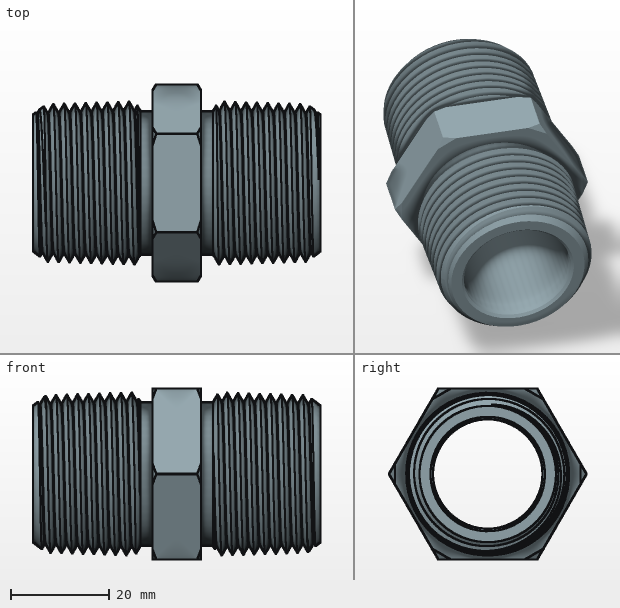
import cadquery as cq
import math

length = 58.7
half_length = length / 2
bore_radius = 11.15
bore_chamfer = 0.5
neck_radius = 14.7

hex_width = 10.0
across_flats = 34.9
across_corners = across_flats / math.cos(math.radians(30))
corner_diameter = 40.25
corner_chamfer_axial = 0.8
corner_chamfer_radial = 1.3

ten_turn_advance = 22.1
pitch = ten_turn_advance / 10
taper_slope = 1 / 32
thread_inner_end = 7.4
crest_radius = 16.7
thread_depth = 1.75
ridge_overlap = 0.6
flank_angle = 30.0
first_crest_x = -26.8
end_face_radius = 13.9
end_chamfer_length = 3.8
end_chamfer_rise = 2.95
overrun_turns = 2
ridge_turns = 12
core_overrun = 5.85


def crest_radius_at(x):
    return crest_radius + taper_slope * (x + thread_inner_end)


def revolve_about_x(points):
    return cq.Workplane("XY").polyline(points).close().revolve(360, (0, 0, 0), (1, 0, 0))


def thread_ridge():
    """Sharp right-handed ridge wound around the tapered core."""
    start_x = first_crest_x - overrun_turns * pitch
    start_radius = crest_radius_at(start_x)
    root_radius = start_radius - thread_depth
    foot_radius = root_radius - ridge_overlap
    half_base = thread_depth * math.tan(math.radians(flank_angle))
    helix = cq.Wire.makeHelix(
        pitch, ridge_turns * pitch, start_radius, angle=math.degrees(math.atan(taper_slope))
    )
    profile = cq.Workplane("XZ").polyline([
        (foot_radius, -half_base),
        (root_radius, -half_base),
        (start_radius, 0),
        (root_radius, half_base),
        (foot_radius, half_base),
    ]).close()
    ridge = profile.sweep(cq.Workplane(obj=helix), isFrenet=True)
    ridge = ridge.rotate((0, 0, 0), (0, 1, 0), 90)
    ridge = ridge.rotate((0, 0, 0), (1, 0, 0), 180)
    return ridge.translate((start_x, 0, 0))


def threaded_end():
    """Threaded -X end, trimmed by its end chamfer and an inner chamfer at the flank angle."""
    core_ends = (-half_length - core_overrun, 0)
    core_radii = [crest_radius_at(x) - thread_depth for x in core_ends]
    core = revolve_about_x([
        (core_ends[0], 0), (core_ends[0], core_radii[0]), (core_ends[1], core_radii[1]), (core_ends[1], 0),
    ])
    chamfer_top_x = -half_length + end_chamfer_length
    chamfer_top_radius = end_face_radius + end_chamfer_rise
    inner_chamfer_length = (chamfer_top_radius - neck_radius) * math.tan(math.radians(flank_angle))
    envelope = revolve_about_x([
        (-half_length, 0),
        (-half_length, end_face_radius),
        (chamfer_top_x, chamfer_top_radius),
        (-thread_inner_end - inner_chamfer_length, chamfer_top_radius),
        (-thread_inner_end, neck_radius),
        (-thread_inner_end, 0),
    ])
    return core.union(thread_ridge()).intersect(envelope)


def hexagon():
    """Central hexagon with a flat chamfer across each corner on both faces."""
    body = cq.Workplane("YZ").polygon(6, across_corners).extrude(hex_width / 2, both=True)
    corner_cylinder = cq.Workplane("YZ").circle(corner_diameter / 2).extrude(hex_width / 2, both=True)
    body = body.intersect(corner_cylinder)
    corner = across_corners / 2
    face_x = hex_width / 2
    for side in (-1, 1):
        wedge = cq.Workplane("XY").polyline([
            (side * face_x, corner - corner_chamfer_radial),
            (side * face_x, corner),
            (side * (face_x - corner_chamfer_axial), corner),
        ]).close().extrude(across_flats / 2, both=True)
        for index in range(6):
            body = body.cut(wedge.rotate((0, 0, 0), (1, 0, 0), 60 * index))
    return body


def bore():
    """Through bore with a chamfer at each mouth."""
    mouth_radius = bore_radius + bore_chamfer
    return revolve_about_x([
        (-half_length, 0),
        (-half_length, mouth_radius),
        (-half_length + bore_chamfer, bore_radius),
        (half_length - bore_chamfer, bore_radius),
        (half_length, mouth_radius),
        (half_length, 0),
    ])


left_end = threaded_end()
right_end = left_end.rotate((0, 0, 0), (0, 1, 0), 180)
neck = cq.Workplane("YZ").circle(neck_radius).extrude(thread_inner_end, both=True)
result = neck.union(hexagon()).union(left_end).union(right_end).cut(bore())